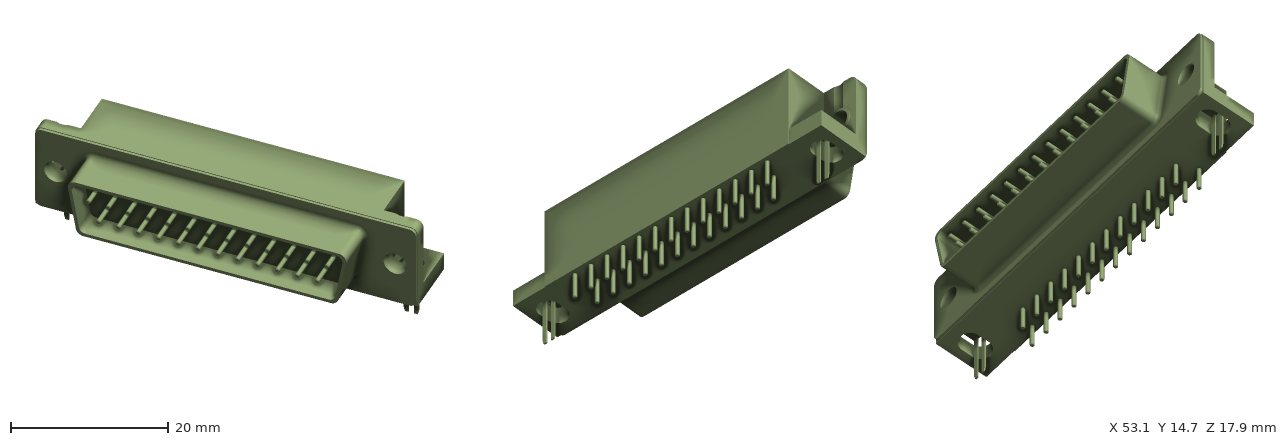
import cadquery as cq
import math


LENGTH = 53.1
HEIGHT = 12.55
HOUSING_LENGTH = 42.05
HOUSING_BACK = 8.85
FOOT_BACK = 8.75
FOOT_HEIGHT = 2.55
FLANGE_BACK = 2.25
FLANGE_CORNER = 1.0
PLATE_THICKNESS = 0.35
PLATE_INSET = 0.1

MOUNT_X = 23.6
MOUNT_DIAMETER = 3.2
COLLAR_DIAMETER = 4.0
COLLAR_HEIGHT = 0.15
SLOT_FRONT = 2.0
SLOT_BACK = 6.9

AXIS_Z = 6.25
SHELL_LENGTH = 5.85
SHELL_HEIGHT = 8.35
SHELL_CORNER = 1.05
CAVITY_CORNER = 0.85
SHELL_TOP_CENTRE_X = 18.25
SHELL_WALL = 0.5
SHELL_FLARE = 0.6
SIDE_ANGLE = math.radians(10)
INSERT_DEPTH = 3.6

CONTACT_DIAMETER = 0.65
CONTACT_TIP = 0.1
CONTACT_PITCH = 2.75
CONTACT_RECESS = 0.1
ROW_SPACING = 2.8
UPPER_COUNT = 13
LOWER_COUNT = 12
TAIL_LENGTH = 3.8
UPPER_TAIL_Y = 8.0
LOWER_TAIL_Y = 5.3
OVERLAP = 0.25

CLIP_WIDTH = 2.05
CLIP_THICKNESS = 0.2
CLIP_BACK = 5.3
CLIP_DROP = 5.35
PRONG_GAP = 0.8
PRONG_TIP_HEIGHT = 0.65
PRONG_TIP_INSET = 0.15


def box(x_min, x_max, y_min, y_max, z_min, z_max):
    size = (x_max - x_min, y_max - y_min, z_max - z_min)
    return cq.Workplane().box(*size, centered=False).translate((x_min, y_min, z_min))


def rod_along_y(x, z, diameter, y_front, y_back):
    plane = cq.Plane(origin=(x, y_front, z), xDir=(-1, 0, 0), normal=(0, 1, 0))
    return cq.Workplane(plane).circle(diameter / 2).extrude(y_back - y_front)


def make_housing():
    half = LENGTH / 2
    flange = box(-half, half, PLATE_THICKNESS, FLANGE_BACK, 0, HEIGHT)
    flange = flange.edges("|Y and >Z").fillet(FLANGE_CORNER)
    plate_half = half - PLATE_INSET
    plate = box(-plate_half, plate_half, 0, PLATE_THICKNESS, PLATE_INSET, HEIGHT - PLATE_INSET)
    plate = plate.edges("|Y").fillet(FLANGE_CORNER - PLATE_INSET)
    half_body = HOUSING_LENGTH / 2
    body = box(-half_body, half_body, PLATE_THICKNESS, HOUSING_BACK, 0, HEIGHT)
    foot = box(-half, half, PLATE_THICKNESS, FOOT_BACK, 0, FOOT_HEIGHT)
    return body.union(foot).union(flange).union(plate)


def shell_prism(inset, corner_radius, y_front, y_back):
    """Rounded trapezoid of the shell, shrunk by inset and extruded along Y."""
    tangent = SHELL_CORNER * (1 + math.sin(SIDE_ANGLE)) / math.cos(SIDE_ANGLE)
    top_x = SHELL_TOP_CENTRE_X + tangent
    mid_x = top_x - SHELL_HEIGHT / 2 * math.tan(SIDE_ANGLE) - inset / math.cos(SIDE_ANGLE)
    half_height = SHELL_HEIGHT / 2 - inset
    slope = half_height * math.tan(SIDE_ANGLE)
    corners = [
        (-mid_x - slope, half_height),
        (mid_x + slope, half_height),
        (mid_x - slope, -half_height),
        (-mid_x + slope, -half_height),
    ]
    plane = cq.Plane(origin=(0, y_back, AXIS_Z), xDir=(1, 0, 0), normal=(0, -1, 0))
    prism = cq.Workplane(plane).polyline(corners).close().extrude(y_back - y_front)
    return prism.edges("|Y").fillet(corner_radius)


def add_shell(part):
    part = part.union(shell_prism(0, SHELL_CORNER, -SHELL_LENGTH, PLATE_THICKNESS))
    margin = 0.05
    half_x = SHELL_TOP_CENTRE_X + SHELL_CORNER + margin
    half_z = SHELL_HEIGHT / 2 + margin
    base_edges = cq.selectors.BoxSelector(
        (-half_x, -margin, AXIS_Z - half_z),
        (half_x, margin, AXIS_Z + half_z),
        boundingbox=True,
    )
    part = part.edges(base_edges).fillet(SHELL_FLARE)
    insert_y = INSERT_DEPTH - SHELL_LENGTH
    return part.cut(shell_prism(SHELL_WALL, CAVITY_CORNER, -SHELL_LENGTH, insert_y))


def foot_slot(x):
    """Round-ended slot through the foot that also nicks the back of the flange."""
    length = SLOT_BACK - SLOT_FRONT
    slot = cq.Workplane().center(x, (SLOT_FRONT + SLOT_BACK) / 2)
    return slot.slot2D(length, MOUNT_DIAMETER, 90).extrude(HEIGHT)


def board_lock(x):
    """Sheet-metal clip: tab on the flange, strip over the slot, two split prongs."""
    half = CLIP_WIDTH / 2
    strip_top = FOOT_HEIGHT + CLIP_THICKNESS
    tab_top = AXIS_Z - MOUNT_DIAMETER / 2
    tab = box(-half, half, FLANGE_BACK, FLANGE_BACK + CLIP_THICKNESS, FOOT_HEIGHT, tab_top)
    strip = box(-half, half, FLANGE_BACK, CLIP_BACK, FOOT_HEIGHT, strip_top)
    prong_outline = [
        (PRONG_GAP / 2, strip_top),
        (half, strip_top),
        (half, PRONG_TIP_HEIGHT - CLIP_DROP),
        (half - PRONG_TIP_INSET, -CLIP_DROP),
        (PRONG_GAP / 2, -CLIP_DROP),
    ]
    prong_face = cq.Workplane("XZ", origin=(0, CLIP_BACK, 0)).polyline(prong_outline).close()
    prong = prong_face.extrude(CLIP_THICKNESS)
    clip = tab.union(strip).union(prong).union(prong.mirror("YZ"))
    return clip.translate((x, 0, 0))


def add_mount(part, x):
    collar = rod_along_y(x, AXIS_Z, COLLAR_DIAMETER, PLATE_THICKNESS, FLANGE_BACK + COLLAR_HEIGHT)
    part = part.cut(foot_slot(x)).union(collar).union(board_lock(x))
    return part.cut(rod_along_y(x, AXIS_Z, MOUNT_DIAMETER, 0, FOOT_BACK))


def add_contact_row(part, count, z, tail_y):
    insert_y = INSERT_DEPTH - SHELL_LENGTH
    tip_y = CONTACT_RECESS - SHELL_LENGTH
    for index in range(count):
        x = (index - (count - 1) / 2) * CONTACT_PITCH
        pin = rod_along_y(x, z, CONTACT_DIAMETER, tip_y, insert_y + OVERLAP)
        pin = pin.faces("<Y").chamfer(CONTACT_TIP)
        tail = cq.Workplane(origin=(x, tail_y, -TAIL_LENGTH)).circle(CONTACT_DIAMETER / 2)
        tail = tail.extrude(TAIL_LENGTH + OVERLAP).faces("<Z").chamfer(CONTACT_TIP)
        part = part.union(pin).union(tail)
    return part


result = add_shell(make_housing())
for mount_x in (-MOUNT_X, MOUNT_X):
    result = add_mount(result, mount_x)
result = add_contact_row(result, UPPER_COUNT, AXIS_Z + ROW_SPACING / 2, UPPER_TAIL_Y)
result = add_contact_row(result, LOWER_COUNT, AXIS_Z - ROW_SPACING / 2, LOWER_TAIL_Y)